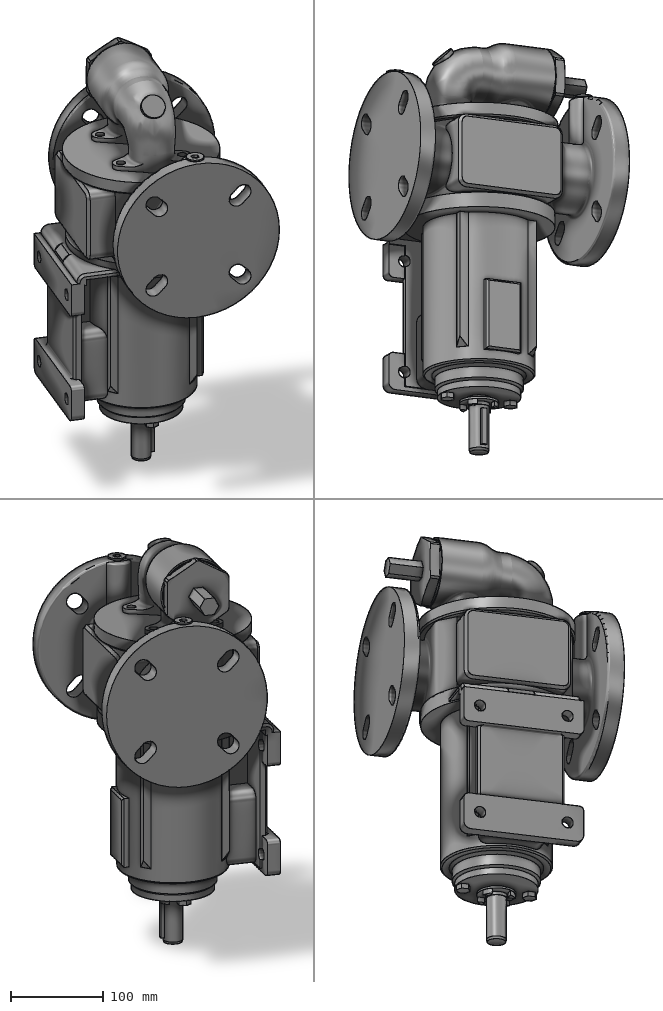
import cadquery as cq
import math

SHAFT_DIAMETER = 22.0

COVER_BOTTOM = 61.5
BARREL_BOTTOM = 86.5
BARREL_RADIUS = 61.0
MID_FLANGE_BOTTOM = 254.0
MID_FLANGE_TOP = 270.0
MID_FLANGE_RADIUS = 82.5
TOP_PLATE_BOTTOM = 355.5
TOP_PLATE_TOP = 370.5
TOP_PLATE_RADIUS = 85.5
CASING_RADIUS = 78.0

PORT_Y = 26.0
PORT_Z = 313.5
PORT_RADIUS = 38.5
FLANGE_RADIUS = 92.0
FLANGE_THICKNESS = 18.5
FLANGE_FACE_X = 125.0
FLANGE_INNER_X = FLANGE_FACE_X - FLANGE_THICKNESS

FOOT_WIDTH = 136.0
FOOT_HALF_WIDTH = FOOT_WIDTH / 2
FOOT_FACE_Y = -100.5
FOOT_BACK_Y = -85.5
WALL_BACK_Y = -83.0

RELIEF_AXIS_Z = 425.0
RELIEF_LEG_X = 37.5
RELIEF_BODY_X = -73.5
RELIEF_BODY_RADIUS = 38.5
RELIEF_NECK_RADIUS = 30.5
RELIEF_LEG_RADIUS = 25.0
ELBOW_START_X = 9.0
ELBOW_END_Z = 390.5


def cylinder_z(radius, bottom, top, x=0, y=0):
    return cq.Workplane("XY", origin=(x, y, bottom)).circle(radius).extrude(top - bottom)


def hexagon(workplane, across_flats, height, turn=0):
    """Hexagonal prism whose corners start on the local X axis, turned by an angle in degrees."""
    across_corners = across_flats / math.cos(math.radians(30))
    return workplane.transformed(rotate=(0, 0, turn)).polygon(6, across_corners).extrude(height)


def block(x_range, y_range, z_range):
    spans = [high - low for low, high in (x_range, y_range, z_range)]
    return cq.Workplane("XY").box(*spans, centered=False).translate((x_range[0], y_range[0], z_range[0]))


def drive_shaft():
    end_length, end_depth = 3.0, 1.0
    shaft = cylinder_z(SHAFT_DIAMETER / 2, 0, COVER_BOTTOM).faces("<Z").chamfer(end_length, end_depth)
    key_width, key_tip_y = 6.0, 14.5
    key_bottom, key_top = 6.0, 46.5
    key = block((-key_width / 2, key_width / 2), (0, key_tip_y), (key_bottom, key_top))
    return shaft.union(key)


def shaft_nut():
    """Slinger disc with four lobes hanging below its brim."""
    bottom, brim_bottom, brim_top = 49.5, 55.0, 57.0
    lobe_radius, brim_radius = 21.0, 21.5
    hub_radius, hub_bottom, neck_radius = 11.5, 51.0, 13.0
    notch_width = 20.5
    lobes = cylinder_z(lobe_radius, bottom, brim_bottom)
    for length, width in ((2 * brim_radius, notch_width), (notch_width, 2 * brim_radius)):
        lobes = lobes.cut(block((-length / 2, length / 2), (-width / 2, width / 2), (bottom, brim_bottom)))
    hub = cylinder_z(hub_radius, hub_bottom, brim_bottom)
    brim = cylinder_z(brim_radius, brim_bottom, brim_top)
    neck = cylinder_z(neck_radius, brim_top, COVER_BOTTOM)
    return lobes.union(hub).union(brim).union(neck)


def bearing_cover():
    upper_diameter, lower_diameter = 96.2, 90.5
    upper_radius = upper_diameter / 2
    lower_radius = lower_diameter / 2
    step_top, step_bottom = 71.0, 69.0
    flare = 3.3
    cover = (
        cq.Workplane("XZ")
        .polyline([
            (0, COVER_BOTTOM), (lower_radius, COVER_BOTTOM), (lower_radius, step_bottom),
            (upper_radius, step_top), (upper_radius, BARREL_BOTTOM - flare),
            (upper_radius + flare, BARREL_BOTTOM), (0, BARREL_BOTTOM),
        ])
        .close().revolve(360, (0, 0), (0, 1))
    )
    head_flats, head_height, head_x = 13.5, 5.5, 37.5
    for side in (-1, 1):
        start = cq.Workplane("XY", origin=(side * head_x, 0, COVER_BOTTOM - head_height))
        cover = cover.union(hexagon(start, head_flats, head_height))
    return cover


def barrel():
    bottom_chamfer = 2.0
    body = cylinder_z(BARREL_RADIUS, BARREL_BOTTOM, MID_FLANGE_BOTTOM).faces("<Z").chamfer(bottom_chamfer)

    inner, outer_x, outer_y = 40.5, 46.0, 49.5
    root_depth = 4.5
    tip_z, tip_radius = 102.7, 61.5
    runout_z, runout_radius = 114.0, 68.0
    runout = (
        cq.Workplane("XZ")
        .polyline([
            (0, tip_z), (tip_radius, tip_z), (runout_radius, runout_z),
            (runout_radius, MID_FLANGE_BOTTOM), (0, MID_FLANGE_BOTTOM),
        ])
        .close().revolve(360, (0, 0), (0, 1))
    )
    for x_side in (-1, 1):
        for y_side in (-1, 1):
            x_span = sorted((x_side * (inner - root_depth), x_side * outer_x))
            y_span = sorted((y_side * inner, y_side * outer_y))
            column = block(x_span, y_span, (tip_z, MID_FLANGE_BOTTOM))
            body = body.union(column.intersect(runout))

    pad_half_width, pad_y, pad_chamfer = 21.0, 65.0, 2.5
    pad_bottom, pad_top = 98.5, 177.5
    pad = block((-pad_half_width, pad_half_width), (0, pad_y), (pad_bottom, pad_top))
    pad = pad.faces(">Y").chamfer(pad_chamfer)
    return body.union(pad)


def foot_pad(bottom, top, bottom_radius, top_radius):
    pad = block((-FOOT_HALF_WIDTH, FOOT_HALF_WIDTH), (FOOT_FACE_Y, FOOT_BACK_Y), (bottom, top))
    pad = pad.edges("|Y and <Z").fillet(bottom_radius)
    if top_radius:
        pad = pad.edges("|Y and >Z").fillet(top_radius)
    return pad


def foot_bracket():
    """Shelf under the middle flange, bending down in front to the upper foot pad."""
    shelf_bottom, shelf_top, shelf_front = 249.0, 262.0, -93.5
    bend, side_chamfer = 9.5, 3.0
    flat_half_width = 15.0
    flat_bevel = 7.0
    z_span = (shelf_bottom, shelf_top)
    shelf = block((-FOOT_HALF_WIDTH, FOOT_HALF_WIDTH), (shelf_front, 0), z_span)
    shelf = shelf.edges(">Z and <Y").fillet(bend)
    shelf = shelf.faces("<X or >X").edges(">Z").chamfer(side_chamfer)
    flat = block((-flat_half_width, flat_half_width), (shelf_front, 0), z_span)
    shelf = shelf.cut(flat).union(flat.edges(">Z and <Y").chamfer(flat_bevel))
    undercut_top = 255.5
    undercut = block((-FOOT_HALF_WIDTH, FOOT_HALF_WIDTH), (WALL_BACK_Y, 0), (shelf_bottom, undercut_top))
    return shelf.cut(undercut)


def mounting_foot():
    wall_half_width, wall_front, wall_chamfer = 49.5, -92.0, 3.0
    pad_fillet = 2.5
    lower_pad_bottom, lower_pad_top = 86.0, 128.0
    upper_pad_bottom, upper_pad_top = 212.5, 252.0
    block_half_width, block_root_y = 36.0, -42.0
    block_bottom, block_top = 90.5, 175.0
    block_top_fillet, block_bottom_fillet = 11.0, 10.0
    spine_half_width = 7.0
    bolt_x, bolt_z_values, bolt_diameter = 49.7, (107.0, 232.0), 12.5

    lower = block(
        (-block_half_width, block_half_width), (WALL_BACK_Y, block_root_y), (block_bottom, block_top)
    )
    lower = lower.faces("<X or >X").edges(">Z").fillet(block_top_fillet)
    lower = lower.faces("<X or >X").edges("<Z").fillet(block_bottom_fillet)
    wall_span = (block_bottom, MID_FLANGE_BOTTOM)
    spine = block((-spine_half_width, spine_half_width), (WALL_BACK_Y, 0), wall_span)
    wall = block((-wall_half_width, wall_half_width), (wall_front, WALL_BACK_Y), wall_span)
    wall = wall.faces("<Y").edges("|Z").chamfer(wall_chamfer)
    upper_pad = foot_pad(upper_pad_bottom, upper_pad_top, bottom_radius=5.5, top_radius=0)
    lower_pad = foot_pad(lower_pad_bottom, lower_pad_top, bottom_radius=8.0, top_radius=5.5)
    front = wall.union(upper_pad).union(lower_pad)
    for z in (lower_pad_top, upper_pad_bottom):
        corner = cq.NearestToPointSelector((0, wall_front, z))
        front = front.edges("|X").edges(corner).fillet(pad_fillet)

    foot = lower.union(spine).union(front).union(foot_bracket())
    for z in bolt_z_values:
        for x in (-bolt_x, bolt_x):
            hole = cq.Workplane("XZ", origin=(x, WALL_BACK_Y, z)).circle(bolt_diameter / 2)
            foot = foot.cut(hole.extrude(WALL_BACK_Y - FOOT_FACE_Y))
    return foot


def casing_box(half_width, outer_y):
    """Rounded box standing out of the casing, from the shaft axis to the given Y."""
    bottom, top = 272.5, 354.5
    corner_radius, rim_chamfer = 9.8, 3.3
    y_span = sorted((0, outer_y))
    box = block((-half_width, half_width), y_span, (bottom, top)).edges("|Y").fillet(corner_radius)
    return box.faces("<Y" if outer_y < 0 else ">Y").chamfer(rim_chamfer)


def casing():
    """Pump housing with necks to both ports, a wide flange below and the top plate above."""
    flat_inner_x, flat_outer_x = 60.0, 74.5
    neck_fillet = 3.3
    plate_chamfer = 2.0
    flat_outer_y = -34.0
    side_inset = CASING_RADIUS - flat_outer_x
    flat_inner_y = flat_outer_y - (flat_outer_x - flat_inner_x)
    side_start_y = flat_outer_y + side_inset * (1 + math.sqrt(2))
    body = (
        cq.Workplane("XY", origin=(0, 0, MID_FLANGE_TOP))
        .moveTo(0, flat_inner_y)
        .lineTo(flat_inner_x, flat_inner_y)
        .lineTo(flat_outer_x, flat_outer_y)
        .tangentArcPoint((CASING_RADIUS, side_start_y), relative=False)
        .lineTo(CASING_RADIUS, 0)
        .radiusArc((0, CASING_RADIUS), -CASING_RADIUS)
        .mirrorY().extrude(TOP_PLATE_BOTTOM - MID_FLANGE_TOP)
    )
    necks = cq.Workplane("YZ", origin=(-FLANGE_INNER_X, PORT_Y, PORT_Z)).circle(PORT_RADIUS)
    body = body.union(necks.extrude(2 * FLANGE_INNER_X))
    for side in (-1, 1):
        neck_root = cq.NearestToPointSelector((side * CASING_RADIUS, PORT_Y, PORT_Z + PORT_RADIUS))
        body = body.edges(neck_root).fillet(neck_fillet)

    body = body.union(cylinder_z(MID_FLANGE_RADIUS, MID_FLANGE_BOTTOM, MID_FLANGE_TOP))
    top_plate = cylinder_z(TOP_PLATE_RADIUS, TOP_PLATE_BOTTOM, TOP_PLATE_TOP)
    body = body.union(top_plate.faces("<Z").chamfer(plate_chamfer))
    front_box = casing_box(half_width=60.5, outer_y=-80.0)
    rear_box = casing_box(half_width=62.5, outer_y=83.0)
    return body.union(front_box).union(rear_box)


def bolt_slots():
    """Four radial slots through the port flange, on the diagonals."""
    circle_radius, width, length = 67.0, 17.5, 27.5
    slots = cq.Workplane("YZ", origin=(FLANGE_INNER_X, PORT_Y, PORT_Z))
    slots = slots.polarArray(circle_radius, 45, 360, 4).slot2D(length, width)
    return slots.extrude(FLANGE_THICKNESS)


def port():
    """Port end on the +X side: flange with a rounded root, and a plugged gauge boss on top."""
    neck_start_x = 93.0
    root_fillet = 4.5
    rim_radius = 3.0
    neck = (
        cq.Workplane("XY", origin=(0, PORT_Y, PORT_Z))
        .moveTo(neck_start_x, 0)
        .lineTo(neck_start_x, PORT_RADIUS)
        .lineTo(FLANGE_INNER_X - root_fillet, PORT_RADIUS)
        .radiusArc((FLANGE_INNER_X, PORT_RADIUS + root_fillet), -root_fillet)
        .lineTo(FLANGE_INNER_X, 0)
        .close().revolve(360, (0, 0), (1, 0))
    )
    flange = cq.Workplane("YZ", origin=(FLANGE_INNER_X, PORT_Y, PORT_Z)).circle(FLANGE_RADIUS)
    flange = flange.extrude(FLANGE_THICKNESS).faces("<X").edges().fillet(rim_radius).cut(bolt_slots())

    boss_x, boss_radius, boss_top, boss_fillet = 112.5, 15.5, 404.0, 2.5
    boss_overlap = 4.5
    boss = (
        cq.Workplane("XY", origin=(0, PORT_Y, PORT_Z))
        .moveTo(boss_x + boss_overlap, -boss_radius)
        .lineTo(boss_x, -boss_radius)
        .threePointArc((boss_x - boss_radius, 0), (boss_x, boss_radius))
        .lineTo(boss_x + boss_overlap, boss_radius)
        .close().extrude(boss_top - PORT_Z)
        .faces(">Z").edges("<X").fillet(boss_fillet)
    )
    plug_head_height = 2.0
    plug_radius, plug_neck_radius, plug_top = 9.8, 6.5, 408.5
    socket_flats, socket_depth = 7.5, 3.3
    plug = cylinder_z(plug_neck_radius, PORT_Z, plug_top, boss_x, PORT_Y)
    plug = plug.union(cylinder_z(plug_radius, plug_top - plug_head_height, plug_top, boss_x, PORT_Y))
    socket_floor = cq.Workplane("XY", origin=(boss_x, PORT_Y, plug_top - socket_depth))
    socket = hexagon(socket_floor, socket_flats, socket_depth)
    return neck.union(flange).union(boss).union(plug).cut(socket)


def valve_cap():
    """Hexagonal cap with rounded corners, a seal ring and a hexagonal adjusting rod."""
    outer_x, inner_x = -86.5, -75.5
    cap_flats, cap_corner_radius = 70.5, 40.0
    bevel_depth, bevel_width = 1.0, 3.5
    rod_flats, rod_end_x = 19.0, -124.0
    ring_radius = 36.5
    cap_plane = cq.Workplane("YZ", origin=(outer_x, 0, RELIEF_AXIS_Z))
    limit = cap_plane.circle(cap_corner_radius).extrude(inner_x - outer_x)
    limit = limit.faces("<X").chamfer(bevel_depth, bevel_width)
    cap = hexagon(cap_plane, cap_flats, inner_x - outer_x, turn=30).intersect(limit)
    ring_plane = cq.Workplane("YZ", origin=(inner_x, 0, RELIEF_AXIS_Z))
    ring = ring_plane.circle(ring_radius).extrude(RELIEF_BODY_X - inner_x)
    rod = hexagon(cq.Workplane("YZ", origin=(rod_end_x, 0, RELIEF_AXIS_Z)), rod_flats, outer_x - rod_end_x)
    return cap.union(ring).union(rod)


def valve_body():
    """Horizontal body, narrowing in an S curve to the neck before the elbow."""
    shoulder_x, waist_x, neck_x = -26.5, -13.5, -2.5
    waist_radius = 35.0
    return (
        cq.Workplane("XY", origin=(0, 0, RELIEF_AXIS_Z))
        .moveTo(RELIEF_BODY_X, 0)
        .lineTo(RELIEF_BODY_X, RELIEF_BODY_RADIUS)
        .lineTo(shoulder_x, RELIEF_BODY_RADIUS)
        .tangentArcPoint((waist_x, waist_radius), relative=False)
        .tangentArcPoint((neck_x, RELIEF_NECK_RADIUS), relative=False)
        .lineTo(ELBOW_START_X, RELIEF_NECK_RADIUS)
        .lineTo(ELBOW_START_X, 0)
        .close().revolve(360, (0, 0), (1, 0))
    )


def elbow():
    """Quarter bend that narrows steadily from the neck radius to the leg radius."""
    start_bend = RELIEF_AXIS_Z - ELBOW_END_Z
    end_bend = RELIEF_LEG_X - ELBOW_START_X
    section_count = 7
    sections = []
    for index in range(section_count):
        fraction = index / (section_count - 1)
        angle = math.radians(90 * fraction)
        reach = start_bend + (end_bend - start_bend) * fraction
        radius = RELIEF_NECK_RADIUS + (RELIEF_LEG_RADIUS - RELIEF_NECK_RADIUS) * fraction
        plane = cq.Plane(
            origin=(ELBOW_START_X + reach * math.sin(angle), 0, ELBOW_END_Z + reach * math.cos(angle)),
            xDir=(0, 1, 0),
            normal=(math.cos(angle), 0, -math.sin(angle)),
        )
        sections.append(cq.Workplane(plane).circle(radius).wires().val())
    return cq.Workplane(cq.Solid.makeLoft(sections))


def elbow_plug():
    diameter, length = 26.5, 14.0
    top_x, top_z = 44.5, 441.5
    outward = cq.Plane(origin=(top_x, 0, top_z), xDir=(0, 1, 0), normal=(1, 0, 1))
    return cq.Workplane(outward).circle(diameter / 2).extrude(-length)


def leg_column(x, top):
    return cylinder_z(RELIEF_LEG_RADIUS, TOP_PLATE_TOP, top, x)


def leg_flange(x):
    """Two-eared flange at the foot of a leg."""
    ear_y, ear_radius, ear_thickness, hole_diameter = 35.0, 9.5, 5.0, 9.8
    flange_radius = 24.5
    skirt_radius = 6.5
    ear_top = TOP_PLATE_TOP + ear_thickness
    skirt_top = ear_top + skirt_radius
    ear_limit = ear_y + 2 * ear_radius
    slope = math.acos((flange_radius - ear_radius) / ear_y)
    hip = (flange_radius * math.sin(slope), flange_radius * math.cos(slope))
    tip = (ear_radius * math.sin(slope), ear_y + ear_radius * math.cos(slope))
    ears = (
        cq.Workplane("XY", origin=(x, 0, TOP_PLATE_TOP))
        .moveTo(hip[0], -hip[1])
        .threePointArc((flange_radius, 0), hip)
        .lineTo(*tip)
        .threePointArc((0, ear_y + ear_radius), (-tip[0], tip[1]))
        .lineTo(-hip[0], hip[1])
        .threePointArc((-flange_radius, 0), (-hip[0], -hip[1]))
        .lineTo(-tip[0], -tip[1])
        .threePointArc((0, -ear_y - ear_radius), (tip[0], -tip[1]))
        .close().extrude(skirt_top - TOP_PLATE_TOP)
    )
    skirt = (
        cq.Workplane("XZ", origin=(x, 0, 0))
        .moveTo(0, TOP_PLATE_TOP)
        .lineTo(ear_limit, TOP_PLATE_TOP)
        .lineTo(ear_limit, ear_top)
        .lineTo(RELIEF_LEG_RADIUS + skirt_radius, ear_top)
        .radiusArc((RELIEF_LEG_RADIUS, skirt_top), skirt_radius)
        .lineTo(0, skirt_top)
        .close().revolve(360, (0, 0), (0, 1))
    )
    holes = cq.Workplane("XY", origin=(x, 0, TOP_PLATE_TOP)).pushPoints([(0, -ear_y), (0, ear_y)])
    return ears.intersect(skirt).cut(holes.circle(hole_diameter / 2).extrude(skirt_top - TOP_PLATE_TOP))


def relief_valve():
    joint_fillet = 4.5
    column_overlap = 18.5
    valve = valve_body().union(leg_column(-RELIEF_LEG_X, RELIEF_AXIS_Z - column_overlap))
    joint = cq.selectors.BoxSelector(
        (-RELIEF_LEG_X - RELIEF_BODY_RADIUS, -RELIEF_NECK_RADIUS, ELBOW_END_Z - joint_fillet),
        (ELBOW_START_X, RELIEF_NECK_RADIUS, RELIEF_AXIS_Z - column_overlap),
        boundingbox=True,
    )
    valve = valve.edges(joint).fillet(joint_fillet)
    valve = valve.union(valve_cap()).union(elbow()).union(elbow_plug())
    valve = valve.union(leg_column(RELIEF_LEG_X, ELBOW_END_Z))
    return valve.union(leg_flange(-RELIEF_LEG_X)).union(leg_flange(RELIEF_LEG_X))


right_port = port()
result = casing().union(right_port).union(right_port.mirror("YZ"))
for component in (barrel(), mounting_foot(), bearing_cover(), shaft_nut(), drive_shaft(), relief_valve()):
    result = result.union(component)